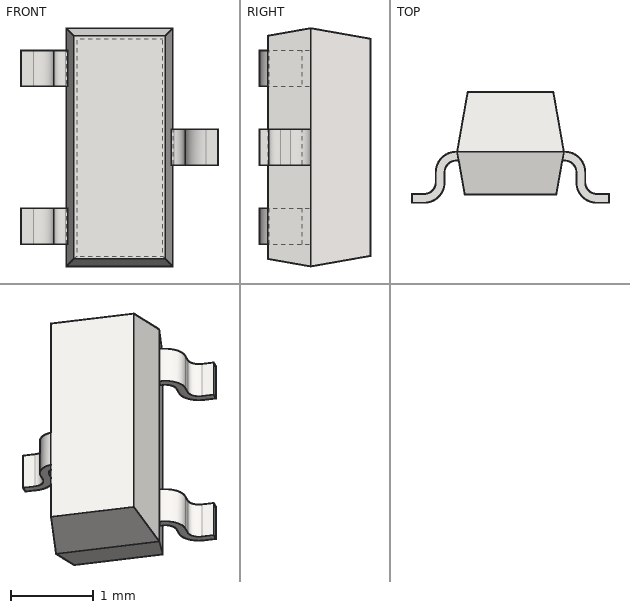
import cadquery as cq
import math

HOUSING_WIDTH = 1.3
HOUSING_LENGTH = 2.9
BASE_DEPTH = 0.522
COVER_DEPTH = 0.728
DRAFT_ANGLE = 10.0

LEAD_SPAN = 2.4
LEAD_THICKNESS = 0.11
STANDOFF = 0.101
LEAD_WIDTH = 0.44
INNER_BEND = 0.14
OUTER_BEND = INNER_BEND + LEAD_THICKNESS
FOOT_FLAT = 0.15
LEAD_OFFSET = 0.96

PARTING_Y = STANDOFF + BASE_DEPTH


def housing_half(depth, direction):
    """Tapered block growing from the parting plane along Y; direction is +1 or -1."""
    plane = cq.Plane(origin=(0, PARTING_Y, 0), xDir=(1, 0, 0), normal=(0, direction, 0))
    block = cq.Workplane(plane).rect(HOUSING_WIDTH, HOUSING_LENGTH)
    return block.extrude(depth, taper=DRAFT_ANGLE)


def lead(side, z_center):
    """S-shaped strip from the foot tip to the base wall; side is -1 for -X, +1 for +X."""
    tip_x = LEAD_SPAN / 2
    foot_bend_x = tip_x - FOOT_FLAT
    shank_inner_x = foot_bend_x - OUTER_BEND
    shank_outer_x = foot_bend_x - INNER_BEND
    shoulder_x = shank_outer_x - OUTER_BEND
    shank_low_y = OUTER_BEND
    shank_high_y = PARTING_Y - OUTER_BEND

    root_top_x = HOUSING_WIDTH / 2
    root_low_x = root_top_x - LEAD_THICKNESS * math.tan(math.radians(DRAFT_ANGLE))
    root_low_y = PARTING_Y - LEAD_THICKNESS

    outline = (
        cq.Workplane("XY", origin=(0, 0, z_center - LEAD_WIDTH / 2))
        .moveTo(tip_x, 0)
        .lineTo(foot_bend_x, 0)
        .tangentArcPoint((shank_inner_x, shank_low_y), relative=False)
        .lineTo(shank_inner_x, shank_high_y)
        .tangentArcPoint((shoulder_x, root_low_y), relative=False)
        .lineTo(root_low_x, root_low_y)
        .lineTo(root_top_x, PARTING_Y)
        .lineTo(shoulder_x, PARTING_Y)
        .tangentArcPoint((shank_outer_x, shank_high_y), relative=False)
        .lineTo(shank_outer_x, shank_low_y)
        .tangentArcPoint((foot_bend_x, LEAD_THICKNESS), relative=False)
        .lineTo(tip_x, LEAD_THICKNESS)
        .close()
    )
    strip = outline.extrude(LEAD_WIDTH)
    return strip if side > 0 else strip.mirror("YZ")


housing_base = housing_half(BASE_DEPTH, -1)
housing_cover = housing_half(COVER_DEPTH, 1)

lead_places = [(-1, -LEAD_OFFSET), (-1, LEAD_OFFSET), (1, 0)]
leads = [lead(side, z_center).val() for side, z_center in lead_places]

result = cq.Compound.makeCompound([housing_base.val(), housing_cover.val(), *leads])